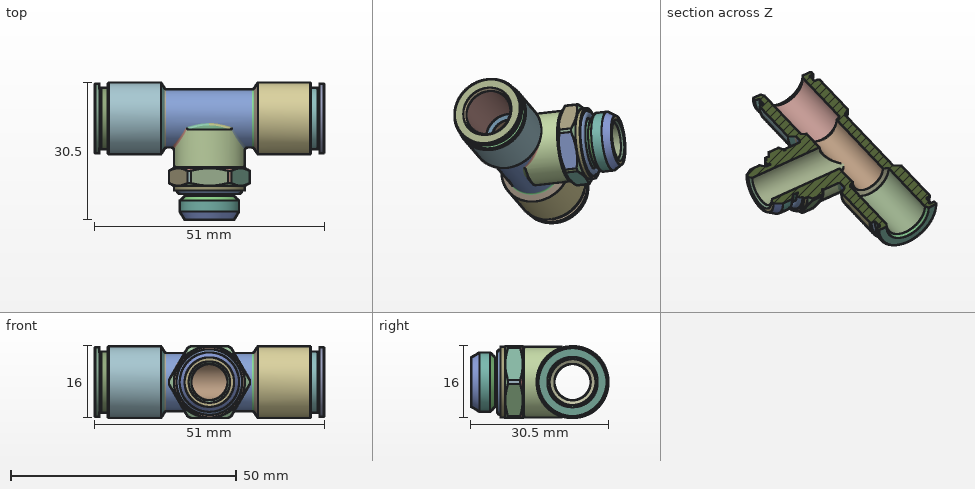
import cadquery as cq
import math


run_half_length = 25.51
run_tube_radius = 6.5
junction_fillet = 0.5

sleeve_radius = 8.0
sleeve_inner_end = 9.8
sleeve_cone_end = 10.75
sleeve_outer_end = 22.6
sleeve_edge_chamfer = 0.3

collar_neck_radius = 6.85
collar_groove_radius = 6.65
collar_groove_start = 24.0
flange_radius = 7.75
flange_start = 24.42
flange_chamfer = 0.2

flow_radius = 4.0
socket_radius = 5.1
socket_bottom = 10.0
socket_seat_angle = math.radians(30)
socket_mouth_radius = 5.6
socket_mouth_depth = 0.8
branch_mouth_radius = 4.6

branch_radius = 7.9
branch_cone_start = 2.46
branch_cone_angle = math.radians(35)
branch_end = 10.75
undercut_radius = 7.6
hex_start = 10.98
hex_end = 15.0
shoulder_end = 16.0
relief_radius = 5.5
seal_outer_radius = 7.3
seal_end = 16.8
relief_end = 17.2
thread_radius = 6.6
thread_start = 18.27
thread_end = 20.7
tip_radius = 5.5
tip_end = 22.5

hex_across_flats = 16.0
hex_corner_radius = 9.0
hex_face_radius = 7.85
hex_chamfer_length = 0.65


def revolve_about_run(points):
    """Revolve (x, radius) points about the X axis."""
    return cq.Workplane("XY").polyline(points).close().revolve(360, (0, 0), (1, 0))


def revolve_about_branch(points):
    """Revolve (radius, distance along -Y) points about the Y axis."""
    outline = [(radius, -distance) for radius, distance in points]
    return cq.Workplane("XY").polyline(outline).close().revolve(360, (0, 0), (0, 1))


def make_socket_outside():
    return revolve_about_run([
        (0, 0),
        (0, run_tube_radius),
        (sleeve_inner_end, run_tube_radius),
        (sleeve_cone_end, sleeve_radius),
        (sleeve_outer_end - sleeve_edge_chamfer, sleeve_radius),
        (sleeve_outer_end, sleeve_radius - sleeve_edge_chamfer),
        (sleeve_outer_end, collar_neck_radius),
        (collar_groove_start, collar_neck_radius),
        (collar_groove_start, collar_groove_radius),
        (flange_start, collar_groove_radius),
        (flange_start, flange_radius),
        (run_half_length - flange_chamfer, flange_radius),
        (run_half_length, flange_radius - flange_chamfer),
        (run_half_length, 0),
    ])


def make_socket_bore():
    seat_length = (socket_radius - flow_radius) * math.tan(socket_seat_angle)
    return revolve_about_run([
        (0, 0),
        (0, flow_radius),
        (socket_bottom - seat_length, flow_radius),
        (socket_bottom, socket_radius),
        (run_half_length - socket_mouth_depth, socket_radius),
        (run_half_length, socket_mouth_radius),
        (run_half_length, 0),
    ])


def on_both_ends(shape):
    return shape.union(shape.mirror("YZ"))


def make_branch_root():
    """Cylinder whose inner end is a blunt cone sinking into the run tube."""
    cone_length = branch_radius * math.tan(branch_cone_angle)
    return revolve_about_branch([
        (0, branch_cone_start - cone_length),
        (branch_radius, branch_cone_start),
        (branch_radius, branch_end),
        (0, branch_end),
    ])


def make_hexagon():
    corner_diameter = hex_across_flats / math.cos(math.pi / 6)
    prism = (
        cq.Workplane("XZ", origin=(0, -hex_start, 0))
        .polygon(6, corner_diameter)
        .extrude(hex_end - hex_start)
    )
    turned_blank = revolve_about_branch([
        (0, hex_start),
        (hex_face_radius, hex_start),
        (hex_corner_radius, hex_start + hex_chamfer_length),
        (hex_corner_radius, hex_end - hex_chamfer_length),
        (hex_face_radius, hex_end),
        (0, hex_end),
    ])
    return prism.intersect(turned_blank)


def make_seal():
    """O-ring lying around the relief and about half sunk into the shoulder."""
    section_radius = (seal_outer_radius - relief_radius) / 2
    ring_radius = (seal_outer_radius + relief_radius) / 2
    return (
        cq.Workplane("XY")
        .center(ring_radius, section_radius - seal_end)
        .circle(section_radius)
        .revolve(360, (-ring_radius, 0), (-ring_radius, 1))
    )


def make_threaded_end():
    turned = revolve_about_branch([
        (0, branch_end),
        (undercut_radius, branch_end),
        (undercut_radius, hex_end),
        (branch_radius, hex_end),
        (branch_radius, shoulder_end),
        (relief_radius, shoulder_end),
        (relief_radius, relief_end),
        (thread_radius, thread_start),
        (thread_radius, thread_end),
        (tip_radius, tip_end),
        (0, tip_end),
    ])
    return turned.union(make_hexagon()).union(make_seal())


def make_branch_bore():
    mouth_length = branch_mouth_radius - flow_radius
    return revolve_about_branch([
        (0, 0),
        (flow_radius, 0),
        (flow_radius, tip_end - mouth_length),
        (branch_mouth_radius, tip_end),
        (0, tip_end),
    ])


def bounds_run_tube(edge):
    """True for the edges where the run tube meets the branch or a sleeve."""
    sample_fraction = 0.37
    tolerance = 0.001
    point = edge.positionAt(sample_fraction)
    on_tube = abs(math.hypot(point.y, point.z) - run_tube_radius) < tolerance
    is_seam = edge.geomType() == "LINE"
    return on_tube and not is_seam and abs(point.x) < sleeve_cone_end


def fillet_junctions(body):
    edges = [edge for edge in body.edges().vals() if bounds_run_tube(edge)]
    return body.newObject(edges).fillet(junction_fillet)


outside = on_both_ends(make_socket_outside()).union(make_branch_root())
outside = fillet_junctions(outside).union(make_threaded_end())
result = outside.cut(on_both_ends(make_socket_bore())).cut(make_branch_bore())